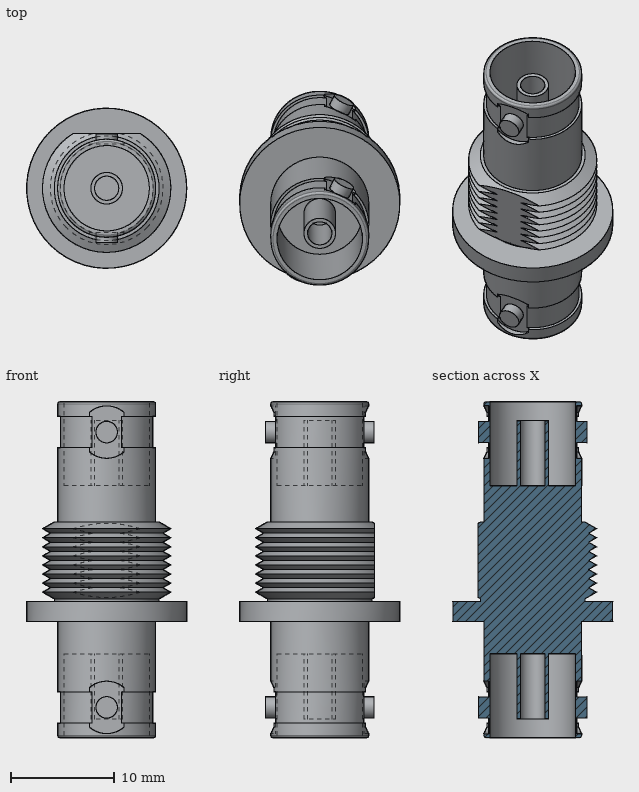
import cadquery as cq
import math

length = 32.6
half_length = length / 2

barrel_radius = 4.75
groove_radius = 4.5
lip_length = 1.45
groove_width = 3.03
rim_fillet = 0.23
cut_clearance = 0.33

pin_radius = 1.05
pin_tip = 5.28
pin_height = half_length - lip_length - groove_width / 2
flat_distance = 4.27
flat_half_width = 1.65
flat_end_radius = 2.55

bore_radius = 4.15
bore_depth = 8.15
contact_radius = 1.53
contact_hole_radius = 1.17
contact_recess = 1.83

flange_diameter = 15.55
flange_radius = flange_diameter / 2
flange_thickness = 1.95
flange_top = -3.05
neck_radius = 5.1
neck_length = 0.23

crest_radius = 6.23
crest_count = 8
pitch = 0.88
thread_flank_angle = 30.0
collar_flat_distance = 5.3


def cylinder(radius, bottom, top):
    return cq.Workplane("XY").workplane(offset=bottom).circle(radius).extrude(top - bottom)


def barrel():
    """Solid barrel with both rims rounded and a ring groove behind each lip."""
    body = cylinder(barrel_radius, -half_length, half_length)
    body = body.faces("<Z or >Z").edges().fillet(rim_fillet)
    groove_top = half_length - lip_length
    groove_bottom = groove_top - groove_width
    ring = cylinder(barrel_radius + cut_clearance, groove_bottom, groove_top)
    ring = ring.cut(cylinder(groove_radius, groove_bottom, groove_top))
    return body.cut(ring).cut(ring.mirror("XY"))


def threaded_collar():
    """Revolved V-thread rings above the neck, trimmed flat on the +Y side."""
    slope = math.tan(math.radians(thread_flank_angle))
    root_radius = crest_radius - pitch / 2 / slope
    runout = slope * (crest_radius - neck_radius)
    neck_top = flange_top + neck_length
    first_crest = neck_top + runout
    last_crest = first_crest + (crest_count - 1) * pitch

    profile = [(0, flange_top), (neck_radius, flange_top), (neck_radius, neck_top)]
    for index in range(crest_count):
        crest_height = first_crest + index * pitch
        profile.append((crest_radius, crest_height))
        if index < crest_count - 1:
            profile.append((root_radius, crest_height + pitch / 2))
    collar_top = last_crest + runout
    profile += [(neck_radius, collar_top), (0, collar_top)]
    collar = cq.Workplane("XZ").polyline(profile).close().revolve(360, (0, 0), (0, 1))

    trim_depth = crest_radius
    trim = cq.Workplane("XY").box(2 * crest_radius, trim_depth, length)
    return collar.cut(trim.translate((0, collar_flat_distance + trim_depth / 2, 0)))


def pin_flat(side, height):
    """Cutter for one flat: a disc trimmed to two parallel sides, lying outside the flat."""
    end_rise = math.sqrt(flat_end_radius**2 - flat_half_width**2)
    cutter = (
        cq.Workplane("XZ")
        .moveTo(-flat_half_width, -end_rise)
        .threePointArc((0, -flat_end_radius), (flat_half_width, -end_rise))
        .lineTo(flat_half_width, end_rise)
        .threePointArc((0, flat_end_radius), (-flat_half_width, end_rise))
        .close()
        .extrude(-barrel_radius)
        .translate((0, flat_distance, 0))
    )
    if side < 0:
        cutter = cutter.mirror("XZ")
    return cutter.translate((0, 0, height))


def bayonet_pin(side, height):
    pin = cq.Workplane("XZ").circle(pin_radius).extrude(-side * pin_tip)
    return pin.translate((0, 0, height))


def socket_cavity():
    """Space removed from the upper end: the bore around and inside the hollow contact."""
    floor = half_length - bore_depth
    contact_top = half_length - contact_recess
    contact = cylinder(contact_radius, floor, contact_top)
    contact = contact.cut(cylinder(contact_hole_radius, floor, contact_top))
    return cylinder(bore_radius, floor, half_length).cut(contact)


flange = cylinder(flange_radius, flange_top - flange_thickness, flange_top)
result = barrel().union(flange).union(threaded_collar())

for end in (-1, 1):
    for side in (-1, 1):
        result = result.cut(pin_flat(side, end * pin_height))
        result = result.union(bayonet_pin(side, end * pin_height))

upper_cavity = socket_cavity()
result = result.cut(upper_cavity).cut(upper_cavity.mirror("XY"))